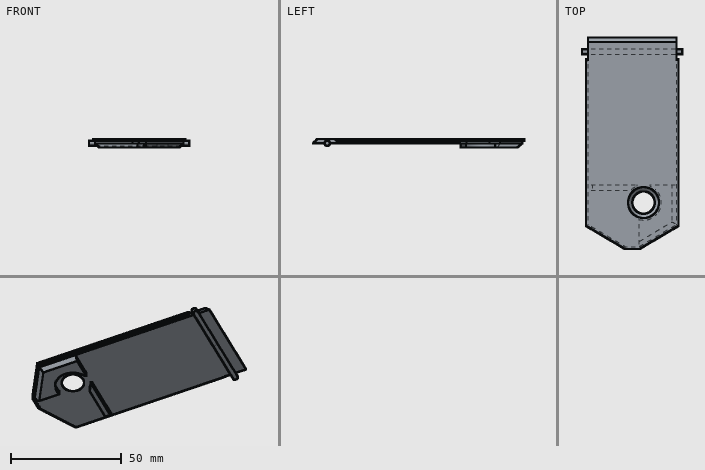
import cadquery as cq

plate_thickness = 2.0
flange_thickness = 1.0
pad_thickness = 2.0
lip = 1.0

flange_width = 42.0

pin_diameter = 2.4
pin_length = 45.4

overall_length = 95.6
rear_y = 6.5
front_y = rear_y - overall_length
flange_rear_y = -3.3
shoulder_y = -78.6
tip_width = 6.6

hole_x = 5.1
hole_y = -68.1
hole_diameter = 10.0

pad_rear_y = -60.1
notch_y = -62.6
notch_x = 3.0
recess_diameter = 16.0
slot_width = 6.0
bevel_angle = 45.0


def pointed_outline():
    """Flange outline with its pointed front, running straight back to the rear edge."""
    half = flange_width / 2
    tip = tip_width / 2
    points = [
        (-half, rear_y + lip),
        (-half, shoulder_y),
        (-tip, front_y),
        (tip, front_y),
        (half, shoulder_y),
        (half, rear_y + lip),
    ]
    return cq.Workplane("XY").polyline(points).close()


def body_outline():
    """Plate outline, set in from the flange by the lip on every side."""
    return pointed_outline().offset2D(-lip)


def side_prism(points):
    """Full-width prism from a profile of (Y, Z) points."""
    profile = cq.Workplane("YZ").polyline(points).close()
    return profile.extrude(flange_width / 2, both=True)


def make_body():
    """Plate body with a rear edge that slopes forward from the underside to the top."""
    rear_bevel = side_prism(
        [
            (rear_y, 0),
            (rear_y, plate_thickness),
            (rear_y - plate_thickness, plate_thickness),
        ]
    )
    return body_outline().extrude(plate_thickness).cut(rear_bevel)


def make_flange():
    """Overhanging upper layer, undercut at 45 degrees at its rear end."""
    flange_bottom = plate_thickness - flange_thickness
    extent = side_prism(
        [
            (front_y, flange_bottom),
            (flange_rear_y - flange_thickness, flange_bottom),
            (flange_rear_y, plate_thickness),
            (front_y, plate_thickness),
        ]
    )
    layer = pointed_outline().extrude(plate_thickness)
    return layer.intersect(extent)


def make_pad():
    """Bevelled pad under the front end, opened at one corner and around the hole."""
    pad = body_outline().extrude(-pad_thickness, taper=bevel_angle)
    extent = side_prism(
        [
            (front_y, 0),
            (pad_rear_y, 0),
            (pad_rear_y, -pad_thickness),
            (front_y, -pad_thickness),
        ]
    )
    notch_width = notch_x + flange_width / 2
    notch_length = notch_y - front_y
    notch = cq.Workplane("XY").box(notch_width, notch_length, pad_thickness, centered=False)
    notch = notch.translate((-flange_width / 2, front_y, -pad_thickness))
    hole_center = cq.Workplane("XY").center(hole_x, hole_y)
    recess = hole_center.circle(recess_diameter / 2).extrude(-pad_thickness)
    slot_length = pad_rear_y - hole_y
    slot = hole_center.center(0, slot_length / 2).rect(slot_width, slot_length).extrude(-pad_thickness)
    return pad.intersect(extent).cut(notch).cut(recess).cut(slot)


def make_pin():
    """Hinge pin across the plate, standing out on both sides."""
    section = cq.Workplane("YZ").circle(pin_diameter / 2)
    return section.extrude(pin_length / 2, both=True)


def make_hole():
    """Conical through hole, widening upwards."""
    mouth = cq.Workplane("XY").center(hole_x, hole_y).circle(hole_diameter / 2)
    return mouth.extrude(plate_thickness, taper=-bevel_angle)


result = make_body().union(make_flange()).union(make_pad()).union(make_pin()).cut(make_hole())